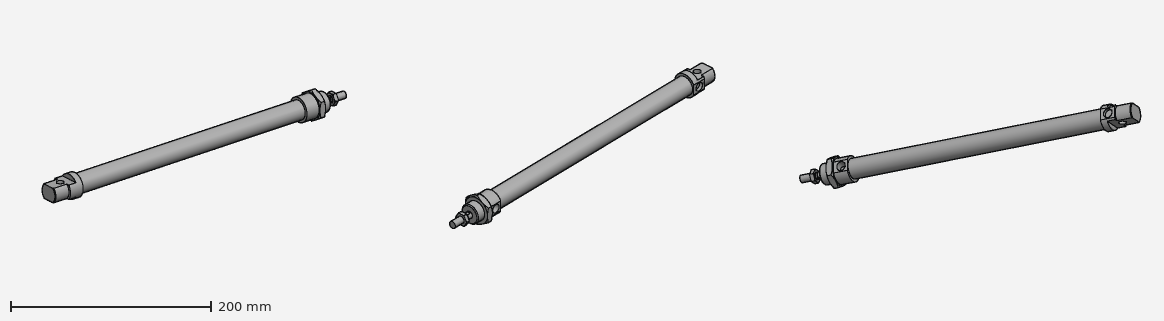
import cadquery as cq
import math

length = 380.0
barrel_start = 34.0
barrel_end = 321.5
head_end = 337.0
collar_end = 354.5
mount_nut_thickness = 7.2
rod_inner_end = barrel_end

cap_d = 27.0
barrel_d = 21.3
collar_d = 22.0
collar_chamfer = 1.0
port_flat_x = 12.0
port_d = 9.5
head_port_y = 328.7
rear_port_y = 25.5
rear_port_depth = 3.8

tongue_d = 22.0
tongue_thickness = 16.0
tongue_end_chamfer = 0.8
tongue_shoulder = 17.5
tongue_flat_end = 26.5
pivot_hole_d = 8.0
pivot_y = 15.2

rod_d = 8.0
relief_d = 6.5
relief_length = 2.3
wrench_flat_width = 6.5
wrench_flat_length = 4.0

mount_nut_across_flats = 30.0
rod_nut_across_flats = 13.0
rod_nut_thickness = 4.5
rod_nut_end = length - 13.0
rod_nut_start = rod_nut_end - rod_nut_thickness
relief_start = rod_nut_start - relief_length


def cylinder(diameter, start, end):
    """Cylinder on the Y axis between two stations."""
    plane = cq.Plane((0, start, 0), xDir=(1, 0, 0), normal=(0, 1, 0))
    return cq.Workplane(plane).circle(diameter / 2).extrude(end - start)


def block(width, start, end, bottom, height):
    """Block centred on X, between two stations along Y."""
    box = cq.Workplane("XY").box(width, end - start, height, centered=(True, False, False))
    return box.translate((0, start, bottom))


def make_port(y, inner_x):
    """Cutter for a radial port that enters from the -X side."""
    mouth = cq.Workplane("YZ", origin=(-cap_d / 2, 0, 0)).center(y, 0)
    return mouth.circle(port_d / 2).extrude(cap_d / 2 + inner_x)


def make_cap(start, end):
    """Round cap with one flat for its port."""
    flat = block(cap_d, start, end, -cap_d / 2, cap_d).translate((-port_flat_x - cap_d / 2, 0, 0))
    return cylinder(cap_d, start, end).cut(flat)


def make_housing():
    collar = cylinder(collar_d, head_end, collar_end).faces(">Y").chamfer(collar_chamfer)
    tongue = cylinder(tongue_d, 0, tongue_shoulder).faces("<Y").chamfer(tongue_end_chamfer)
    body = (
        cylinder(barrel_d, barrel_start, barrel_end)
        .union(make_cap(barrel_end, head_end))
        .union(make_cap(tongue_shoulder, barrel_start))
        .union(collar)
        .union(tongue)
    )

    relief_height = (cap_d - tongue_thickness) / 2
    for bottom in (tongue_thickness / 2, -cap_d / 2):
        body = body.cut(block(cap_d, 0, tongue_flat_end, bottom, relief_height))

    pivot = cq.Workplane("XY").center(0, pivot_y).circle(pivot_hole_d / 2).extrude(cap_d, both=True)
    body = body.cut(pivot)

    body = body.cut(make_port(head_port_y, 0))
    body = body.cut(make_port(rear_port_y, -port_flat_x + rear_port_depth))

    return body.cut(cylinder(rod_d, rod_inner_end, collar_end))


def make_rod():
    rod = cylinder(rod_d, rod_inner_end, relief_start)
    rod = rod.union(cylinder(relief_d, relief_start, rod_nut_start))
    rod = rod.union(cylinder(rod_d, rod_nut_start, length))
    for bottom in (wrench_flat_width / 2, -wrench_flat_width / 2 - rod_d):
        rod = rod.cut(block(rod_d, relief_start - wrench_flat_length, relief_start, bottom, rod_d))
    return rod


def make_nut(across_flats, bore_d, start, thickness, chamfered_ends, corner_angle):
    """Hexagonal nut with its corners chamfered at 30 degrees on the selected ends."""
    corner_r = across_flats / math.sqrt(3)
    corner_chamfer = (corner_r - across_flats / 2) * math.tan(math.radians(30))
    plane = cq.Plane((0, start, 0), xDir=(1, 0, 0), normal=(0, 1, 0))
    hexagon = cq.Workplane(plane).polygon(6, 2 * corner_r).extrude(thickness)
    hexagon = hexagon.rotate((0, 0, 0), (0, 1, 0), corner_angle)
    envelope = (
        cylinder(2 * corner_r, start, start + thickness)
        .faces(chamfered_ends)
        .chamfer(corner_chamfer, corner_r - across_flats / 2)
    )
    return hexagon.intersect(envelope).cut(cylinder(bore_d, start, start + thickness))


housing = make_housing()
rod = make_rod()
mount_nut = make_nut(mount_nut_across_flats, collar_d, head_end, mount_nut_thickness, "<Y or >Y", 30)
rod_nut = make_nut(rod_nut_across_flats, rod_d, rod_nut_start, rod_nut_thickness, "<Y", 0)

result = cq.Compound.makeCompound([housing.val(), rod.val(), mount_nut.val(), rod_nut.val()])